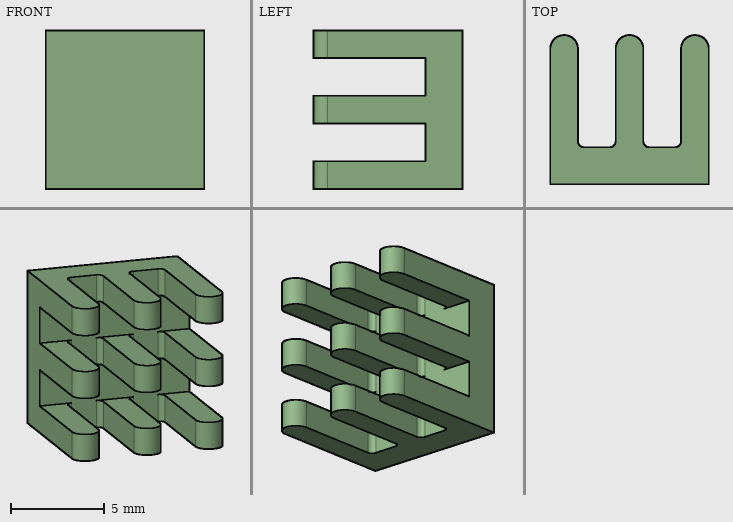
import cadquery as cq

width = 8.5
depth = 8.0
base_thickness = 2.0
pin_width = 1.5
pins_per_side = 3
root_radius = 0.3

gap = (width - pins_per_side * pin_width) / (pins_per_side - 1)
pitch = pin_width + gap
tip_radius = pin_width / 2
straight_end = depth - tip_radius


def comb_profile():
    """Comb outline in XY: base strip, fins with full-round tips, filleted slot floors."""
    outline = cq.Workplane("XY").moveTo(0, 0)
    for index in range(pins_per_side):
        left = index * pitch
        right = left + pin_width
        outline = outline.lineTo(left, straight_end)
        outline = outline.threePointArc((left + tip_radius, depth), (right, straight_end))
        if index < pins_per_side - 1:
            next_left = left + pitch
            outline = (
                outline.lineTo(right, base_thickness + root_radius)
                .radiusArc((right + root_radius, base_thickness), -root_radius)
                .lineTo(next_left - root_radius, base_thickness)
                .radiusArc((next_left, base_thickness + root_radius), -root_radius)
            )
    return outline.lineTo(width, 0).close()


def cross_slot(index):
    """Square-cornered slot along X that separates two rows of pins."""
    return (
        cq.Workplane("XY")
        .box(width, depth - base_thickness, gap, centered=False)
        .translate((0, base_thickness, index * pitch + pin_width))
    )


result = comb_profile().extrude(width)
for slot_index in range(pins_per_side - 1):
    result = result.cut(cross_slot(slot_index))